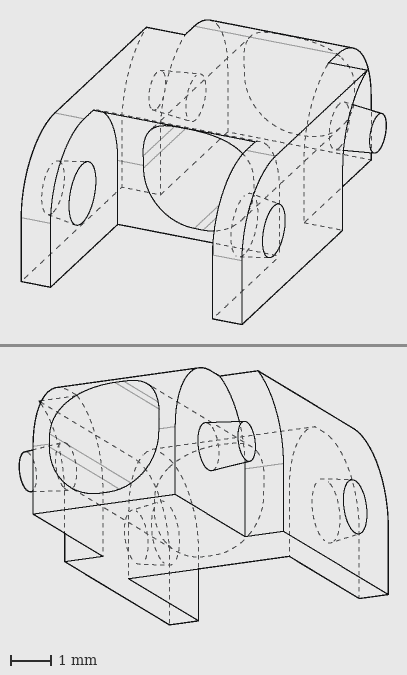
import cadquery as cq

width = 6.0
length = 10.0
height = 3.75

end_radius = 2.0
clearance_radius = 2.1
pivot_height = height - end_radius
pivot_inset = 1.9

fork_gap = 4.4
tongue_width = 3.9
socket_outer_diameter = 1.35
socket_inner_diameter = 1.6

pin_base_diameter = 1.2
pin_tip_diameter = 1.0

passage_width = 3.0
passage_height = 3.1
passage_corner_radius = 1.38
passage_floor = 0.3

half_length = length / 2
fork_pivot_y = -half_length + pivot_inset
tongue_pivot_y = half_length - pivot_inset
fork_arm = (width - fork_gap) / 2
tongue_shoulder = (width - tongue_width) / 2


def box(x_min, x_size, y_min, y_size, z_size):
    """Box standing on the base plane with its lower corner at x_min, y_min."""
    return cq.Workplane("XY").box(x_size, y_size, z_size, centered=False).translate((x_min, y_min, 0))


def outward_cone(side, start_x, pivot_y, start_diameter, end_diameter, cone_length):
    """Cone along X from start_x toward the outside; side is -1 or +1."""
    start = cq.Vector(side * start_x, pivot_y, pivot_height)
    outward = cq.Vector(side, 0, 0)
    cone = cq.Solid.makeCone(start_diameter / 2, end_diameter / 2, cone_length, start, outward)
    return cq.Workplane(cone)


def make_body():
    """Block with both upper end edges rounded."""
    block = box(-width / 2, width, -half_length, length, height)
    return block.edges(">Z and |X").fillet(end_radius)


def make_swing_clearance(x_min, x_size, pivot_y):
    """Space swept by a mating end: a cylinder at the pivot, carried straight down to the base."""
    round_part = (
        cq.Workplane("YZ", origin=(x_min, pivot_y, pivot_height))
        .circle(clearance_radius)
        .extrude(x_size)
    )
    lower_part = box(x_min, x_size, pivot_y - clearance_radius, 2 * clearance_radius, pivot_height)
    return round_part.union(lower_part)


def make_passage():
    """Rounded passage running the full length."""
    center_z = passage_floor + passage_height / 2
    return (
        cq.Workplane("XZ", origin=(0, half_length, center_z))
        .rect(passage_width, passage_height)
        .extrude(length)
        .edges("|Y")
        .fillet(passage_corner_radius)
    )


def make_socket(side):
    """Tapered hole through one fork arm, wider at the inner face."""
    return outward_cone(
        side, fork_gap / 2, fork_pivot_y, socket_inner_diameter, socket_outer_diameter, fork_arm
    )


def make_pin(side):
    """Tapered pin from one tongue flank out to the full width."""
    return outward_cone(
        side, tongue_width / 2, tongue_pivot_y, pin_base_diameter, pin_tip_diameter, tongue_shoulder
    )


result = make_body()
result = result.cut(make_swing_clearance(-fork_gap / 2, fork_gap, fork_pivot_y))
for shoulder_x in (-width / 2, tongue_width / 2):
    result = result.cut(make_swing_clearance(shoulder_x, tongue_shoulder, tongue_pivot_y))
result = result.cut(make_passage())
for side in (-1, 1):
    result = result.cut(make_socket(side))
    result = result.union(make_pin(side))